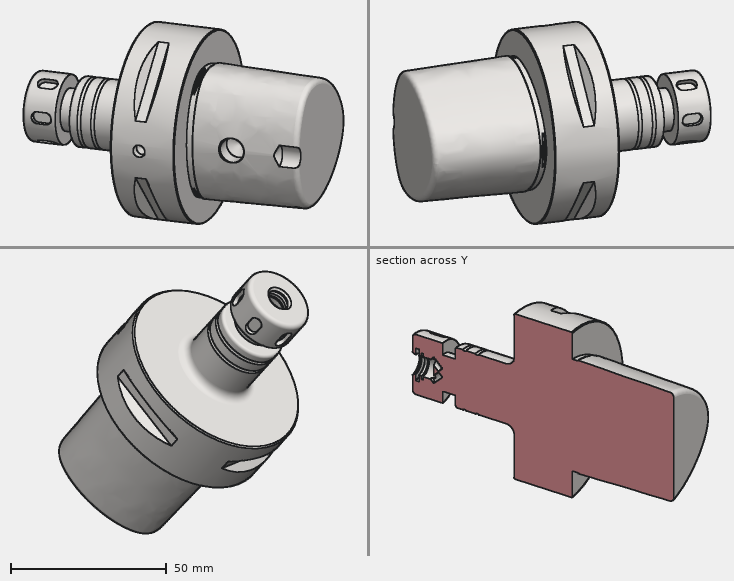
import math

import cadquery as cq

TOTAL_LENGTH = 98.0
SHANK_LENGTH = 38.0
FLANGE_LENGTH = 22.0
NUT_FACE_X = SHANK_LENGTH - TOTAL_LENGTH

FLANGE_DIA = 63.0
FLANGE_FRONT_CHAMFER = 0.5
FLANGE_BACK_CHAMFER = 0.3
FLANGE_FEATURE_X = -12.0
GRIPPER_FLOOR_RADIUS = 28.0
GRIPPER_FLOOR_WIDTH = 3.6
GRIPPER_WALL_ANGLE = 30.0
INDEX_HOLE_DIA = 4.0
INDEX_HOLE_DEPTH = 3.0

NOSE_DIA = 23.0
NOSE_FRONT_X = -44.0
NOSE_FRONT_FILLET = 1.0
NOSE_ROOT_FILLET = 3.0
MARK_GROOVE_XS = (-40.4, -35.7)
MARK_GROOVE_WIDTH = 1.2
MARK_GROOVE_DEPTH = 0.3
NECK_DIA = 14.0
NUT_LENGTH = 11.4
NUT_FILLET = 1.5
NUT_BACK_CHAMFER_LENGTH = 0.7
NUT_BACK_CHAMFER_HEIGHT = 0.1
WRENCH_SLOT_COUNT = 6
WRENCH_SLOT_X = -53.35
WRENCH_SLOT_LENGTH = 6.75
WRENCH_SLOT_WIDTH = 4.0
WRENCH_SLOT_FLOOR_RADIUS = 9.7

BORE_MOUTH_DIA = 8.79
BORE_LIP_DIA = 8.1
BORE_DIA = 7.3
BORE_LIP_DEPTH = 0.35
BORE_CONE_DEPTH = 0.8
BORE_DEPTH = 8.0
WIDE_GROOVE_DIA = 12.1
WIDE_GROOVE_DEPTHS = (1.3, 2.4)
NARROW_GROOVE_DIA = 9.7
NARROW_GROOVE_DEPTHS = (3.5, 4.0)
COOLANT_DIA = 2.0
COOLANT_TILT = 45.0
COOLANT_ENTRY_RADIUS = 3.4
COOLANT_LENGTH = 3.5

POLYGON_DIA = 44.0
POLYGON_LOBE = 1.4
POLYGON_START_X = 2.1
POLYGON_POINTS = 36
TAPER_ON_DIAMETER = 1.0 / 20.0
SHANK_END_FILLET = 1.7
COLLAR_INSET = 0.3
RELIEF_RADIUS = 22.4
RELIEF_START_X = 0.3
RELIEF_FLOOR_END_X = 0.9
SIDE_HOLE_X = 15.5
SIDE_HOLE_DIA = 8.1
SIDE_HOLE_MOUTH_DIA = 8.79
SIDE_HOLE_DEPTH = 6.0
KEYWAY_DIA = 7.5
KEYWAY_AXIS_Y = -20.7
KEYWAY_START_X = 31.7

DRILL_POINT_ANGLE = 118.0
CLEARANCE = 5.0


def turned(points):
    """Revolve a closed (x, radius) outline about the X axis."""
    return cq.Workplane("XY").polyline(points).close().revolve(360, (0, 0, 0), (1, 0, 0))


def disc(start_x, end_x, diameter):
    radius = diameter / 2
    return turned([(start_x, 0), (end_x, 0), (end_x, radius), (start_x, radius)])


def point_length(diameter):
    """Length of the drill point at the bottom of a hole."""
    return diameter / 2 / math.tan(math.radians(DRILL_POINT_ANGLE / 2))


def make_nut():
    nut = disc(NUT_FACE_X, NUT_FACE_X + NUT_LENGTH, NOSE_DIA)
    nut = nut.faces("<X").edges().fillet(NUT_FILLET)
    nut = nut.faces(">X").edges().chamfer(NUT_BACK_CHAMFER_LENGTH, NUT_BACK_CHAMFER_HEIGHT)
    height = NOSE_DIA / 2 - WRENCH_SLOT_FLOOR_RADIUS + CLEARANCE
    slot = (
        cq.Workplane("XY", origin=(WRENCH_SLOT_X, 0, WRENCH_SLOT_FLOOR_RADIUS))
        .slot2D(WRENCH_SLOT_LENGTH, WRENCH_SLOT_WIDTH)
        .extrude(height)
        .rotate((0, 0, 0), (1, 0, 0), 90)
    )
    for index in range(WRENCH_SLOT_COUNT):
        nut = nut.cut(slot.rotate((0, 0, 0), (1, 0, 0), index * 360 / WRENCH_SLOT_COUNT))
    return nut


def make_nose():
    nose = disc(NOSE_FRONT_X, -FLANGE_LENGTH, NOSE_DIA)
    nose = nose.faces("<X").edges().fillet(NOSE_FRONT_FILLET)
    surface = NOSE_DIA / 2
    for groove_x in MARK_GROOVE_XS:
        groove = (
            cq.Workplane("XY")
            .moveTo(groove_x - MARK_GROOVE_WIDTH / 2, surface)
            .threePointArc(
                (groove_x, surface - MARK_GROOVE_DEPTH),
                (groove_x + MARK_GROOVE_WIDTH / 2, surface),
            )
            .close()
            .revolve(360, (0, 0, 0), (1, 0, 0))
        )
        nose = nose.cut(groove)
    return nose


def make_root_fillet():
    """Concave flare blending the nose into the flange face."""
    start_x = -FLANGE_LENGTH - NOSE_ROOT_FILLET
    outer = NOSE_DIA / 2 + NOSE_ROOT_FILLET
    blank = disc(start_x, -FLANGE_LENGTH, 2 * outer)
    hollow = (
        cq.Workplane("XY")
        .center(start_x, outer)
        .circle(NOSE_ROOT_FILLET)
        .revolve(360, (0, -outer, 0), (1, -outer, 0))
    )
    return blank.cut(hollow)


def make_flange():
    flange = disc(-FLANGE_LENGTH, 0, FLANGE_DIA)
    flange = flange.faces("<X").edges().chamfer(FLANGE_FRONT_CHAMFER)
    return flange.faces(">X").edges().chamfer(FLANGE_BACK_CHAMFER)


def make_gripper_grooves():
    """Four straight tapered grooves across the flange rim, midway between the Y and Z axes."""
    height = FLANGE_DIA / 2 - GRIPPER_FLOOR_RADIUS + CLEARANCE
    floor = GRIPPER_FLOOR_WIDTH / 2
    top = floor + height * math.tan(math.radians(GRIPPER_WALL_ANGLE))
    groove = (
        cq.Workplane("XZ", origin=(FLANGE_FEATURE_X, 0, GRIPPER_FLOOR_RADIUS))
        .polyline([(-floor, 0), (floor, 0), (top, height), (-top, height)])
        .close()
        .extrude(FLANGE_DIA / 2, both=True)
    )
    grooves = cq.Workplane("XY")
    for angle in (45, 135, 225, 315):
        grooves = grooves.add(groove.rotate((0, 0, 0), (1, 0, 0), angle))
    return grooves.combine()


def polygon_wire(x, inset):
    """Constant-width three-lobed outline with one lobe toward +Y, moved inward by `inset`."""
    radius = POLYGON_DIA / 2 - inset
    points = []
    for index in range(POLYGON_POINTS):
        angle = 2 * math.pi * index / POLYGON_POINTS
        support = radius + POLYGON_LOBE * math.cos(3 * angle)
        slope = -3 * POLYGON_LOBE * math.sin(3 * angle)
        y = support * math.cos(angle) - slope * math.sin(angle)
        z = support * math.sin(angle) + slope * math.cos(angle)
        points.append(cq.Vector(x, y, z))
    return cq.Wire.assembleEdges([cq.Edge.makeSpline(points, periodic=True)])


def make_shank():
    end_inset = (SHANK_LENGTH - POLYGON_START_X) * TAPER_ON_DIAMETER / 2
    wires = [polygon_wire(POLYGON_START_X, 0), polygon_wire(SHANK_LENGTH, end_inset)]
    shank = cq.Workplane("XY").add(cq.Solid.makeLoft(wires, True))
    return shank.faces(">X").edges().fillet(SHANK_END_FILLET)


def make_collar():
    """Short polygon between flange and taper, its three lobes turned down by a round relief."""
    collar = cq.Workplane("XY").add(
        cq.Solid.extrudeLinear(polygon_wire(0, COLLAR_INSET), [], cq.Vector(POLYGON_START_X, 0, 0))
    )
    slope_length = POLYGON_START_X - RELIEF_FLOOR_END_X
    outer = RELIEF_RADIUS + slope_length
    relief = turned([
        (RELIEF_START_X, RELIEF_RADIUS),
        (RELIEF_FLOOR_END_X, RELIEF_RADIUS),
        (POLYGON_START_X, outer),
        (RELIEF_START_X, outer),
    ])
    return collar.cut(relief)


def make_bore():
    """Stepped bore with two inner grooves and two slanted coolant holes in its floor."""
    floor_x = NUT_FACE_X + BORE_DEPTH
    bore = turned([
        (NUT_FACE_X, 0),
        (NUT_FACE_X, BORE_MOUTH_DIA / 2),
        (NUT_FACE_X + BORE_LIP_DEPTH, BORE_LIP_DIA / 2),
        (NUT_FACE_X + BORE_CONE_DEPTH, BORE_DIA / 2),
        (floor_x, BORE_DIA / 2),
        (floor_x, 0),
    ])
    for diameter, (start, end) in (
        (WIDE_GROOVE_DIA, WIDE_GROOVE_DEPTHS),
        (NARROW_GROOVE_DIA, NARROW_GROOVE_DEPTHS),
    ):
        bore = bore.union(disc(NUT_FACE_X + start, NUT_FACE_X + end, diameter))
    tilt = math.radians(COOLANT_TILT)
    for side in (-1, 1):
        entry = cq.Vector(floor_x, 0, side * COOLANT_ENTRY_RADIUS)
        direction = cq.Vector(math.cos(tilt), 0, -side * math.sin(tilt))
        start = entry - direction * (COOLANT_DIA / 2)
        coolant = cq.Solid.makeCylinder(
            COOLANT_DIA / 2, COOLANT_LENGTH + COOLANT_DIA / 2, start, direction
        )
        bore = bore.union(cq.Workplane("XY").add(coolant))
    return bore


def drilled_hole(x, surface_y, diameter, depth):
    """Blind hole with a drill point, entering along +Y from `surface_y`."""
    radius = diameter / 2
    start = surface_y - CLEARANCE
    bottom = surface_y + depth
    outline = [(0, start), (radius, start), (radius, bottom), (0, bottom + point_length(diameter))]
    hole = cq.Workplane("XY").polyline(outline).close().revolve(360, (0, 0, 0), (0, 1, 0))
    return hole.translate((x, 0, 0))


def make_side_hole():
    """Blind hole in the shank with a 45 degree chamfer at its mouth."""
    inset = (SIDE_HOLE_X - POLYGON_START_X) * TAPER_ON_DIAMETER / 2
    surface_y = POLYGON_LOBE + inset - POLYGON_DIA / 2
    mouth_radius = SIDE_HOLE_MOUTH_DIA / 2
    mouth = cq.Solid.makeCone(
        mouth_radius, 0, mouth_radius, cq.Vector(SIDE_HOLE_X, surface_y, 0), cq.Vector(0, 1, 0)
    )
    hole = drilled_hole(SIDE_HOLE_X, surface_y, SIDE_HOLE_DIA, SIDE_HOLE_DEPTH)
    return hole.union(cq.Workplane("XY").add(mouth))


def make_index_hole():
    return drilled_hole(FLANGE_FEATURE_X, -FLANGE_DIA / 2, INDEX_HOLE_DIA, INDEX_HOLE_DEPTH)


def make_keyway():
    """Round channel drilled along X into the edge of the shank end, on the -Y side."""
    end_x = SHANK_LENGTH + CLEARANCE
    radius = KEYWAY_DIA / 2
    keyway = turned([
        (KEYWAY_START_X - point_length(KEYWAY_DIA), 0),
        (KEYWAY_START_X, radius),
        (end_x, radius),
        (end_x, 0),
    ])
    return keyway.translate((0, KEYWAY_AXIS_Y, 0))


result = (
    make_nut()
    .union(disc(NUT_FACE_X + NUT_LENGTH, NOSE_FRONT_X, NECK_DIA))
    .union(make_nose())
    .union(make_root_fillet())
    .union(make_flange())
    .union(make_collar())
    .union(make_shank())
    .cut(make_gripper_grooves())
    .cut(make_index_hole())
    .cut(make_side_hole())
    .cut(make_keyway())
    .cut(make_bore())
)